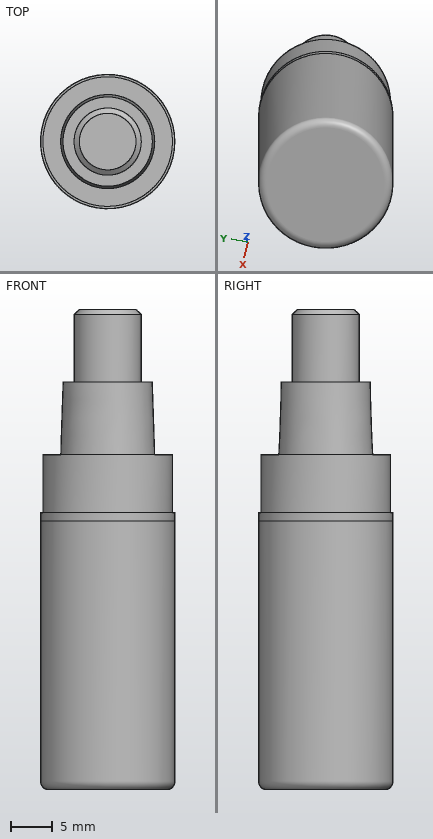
import cadquery as cq

BARREL_RADIUS = 8.0
BARREL_HEIGHT = 32.05
BASE_FILLET = 1.0

FLANGE_THICKNESS = 1.0
FLANGE_TOP = BARREL_HEIGHT + FLANGE_THICKNESS
COLLAR_RADIUS = 7.75
COLLAR_TOP = 39.95
NECK_BASE_RADIUS = 5.6
NECK_TOP_RADIUS = 5.3
NECK_TOP = 48.6
PIN_RADIUS = 4.0
PIN_TOP = 57.25
PIN_CHAMFER_WIDTH = 0.65
PIN_CHAMFER_HEIGHT = 0.6


def make_barrel():
    """Make the cylinder with its rounded bottom edge."""
    barrel = cq.Workplane("XY").circle(BARREL_RADIUS).extrude(BARREL_HEIGHT)
    return barrel.faces("<Z").edges().fillet(BASE_FILLET)


def make_head():
    """Revolve the stepped head, which rests on the barrel, about Z."""
    return (
        cq.Workplane("XZ")
        .moveTo(0, BARREL_HEIGHT)
        .lineTo(BARREL_RADIUS, BARREL_HEIGHT)
        .lineTo(BARREL_RADIUS, FLANGE_TOP)
        .lineTo(COLLAR_RADIUS, FLANGE_TOP)
        .lineTo(COLLAR_RADIUS, COLLAR_TOP)
        .lineTo(NECK_BASE_RADIUS, COLLAR_TOP)
        .lineTo(NECK_TOP_RADIUS, NECK_TOP)
        .lineTo(PIN_RADIUS, NECK_TOP)
        .lineTo(PIN_RADIUS, PIN_TOP - PIN_CHAMFER_HEIGHT)
        .lineTo(PIN_RADIUS - PIN_CHAMFER_WIDTH, PIN_TOP)
        .lineTo(0, PIN_TOP)
        .close()
        .revolve(360, (0, 0, 0), (0, 1, 0))
    )


barrel = make_barrel()
head = make_head()
result = cq.Compound.makeCompound([barrel.val(), head.val()])